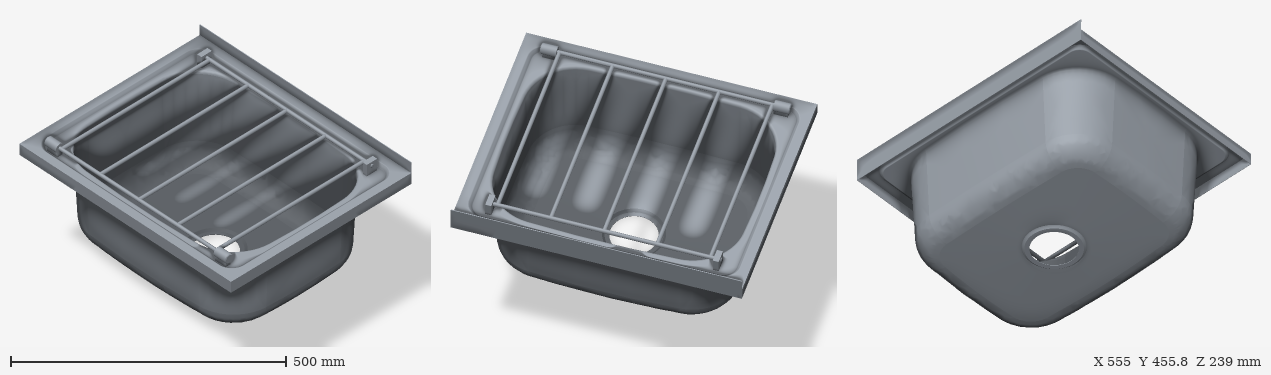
import cadquery as cq
import math


SHEET = 0.8
DECK_WIDTH = 555.0
DECK_DEPTH = 455.8
DECK_FRONT = -227.5
DECK_BACK = DECK_FRONT + DECK_DEPTH
SKIRT_HEIGHT = 25.5
OVERALL_HEIGHT = 238.98
SPLASH_HEIGHT = 24.5
HEM_HEIGHT = 6.0

RECESS_DEPTH = 6.5
RECESS_WIDTH = 517.0
RECESS_LENGTH = 417.0
RECESS_CORNER_RADIUS = 32.0
RECESS_SLOPE_RUN = 7.0
RECESS_RIM_RADIUS = 3.0
RECESS_FLOOR_RADIUS = 2.0

BOWL_HALF_WIDTH = 240.0
BOWL_HALF_LENGTH = 189.5
CORNER_CENTER_X = 139.5
CORNER_CENTER_Y = 88.0
CORNER_RADIUS = 98.0
WALL_DRAFT = 3.0
LIP_RADIUS = 5.0
BOTTOM_RADIUS = 45.0

DRAIN_BOTTOM = SPLASH_HEIGHT - OVERALL_HEIGHT
DRAIN_SEAT_DEPTH = 4.5
DRAIN_TOP_RADIUS = 58.5
DRAIN_SEAT_RADIUS = 53.5
DRAIN_HOLE_RADIUS = 45.0
FLOOR_RIM_RADIUS = 350.0
FLOOR_RISE = 10.0

ROD_DIAMETER = 8.0
ROD_RADIUS = ROD_DIAMETER / 2
GRATE_HEIGHT = 11.0
BAR_COUNT = 5
BAR_PITCH = 101.5
REAR_ROD_Y = 181.0
FRONT_ROD_Y = -193.0
ROD_PROTRUSION = 2.0

BLOCK_INNER_X = 211.0
BLOCK_WIDTH = 11.5
BLOCK_LENGTH = 26.0
BLOCK_TOP = 20.0
BLOCK_EDGE_RADIUS = 1.5

REST_INNER_X = 207.0
REST_LENGTH = 31.0
REST_RADIUS = 10.3
REST_FOOT_WIDTH = 13.0
REST_FOOT_LENGTH = 27.0
REST_CHAMFER = 1.5

SIDES = (-1, 1)
SELECT_MARGIN = 0.1


def level_zone(half_width, half_length, level):
    """Selector for edges lying at one Z level within a centred rectangle."""
    return cq.selectors.BoxSelector(
        (-half_width, -half_length, level - SELECT_MARGIN),
        (half_width, half_length, level + SELECT_MARGIN),
    )


def bowl_outline(offset):
    """Closed outline of four shallow arcs joined by four tangent corner arcs."""
    half_width = BOWL_HALF_WIDTH + offset
    half_length = BOWL_HALF_LENGTH + offset
    radius = CORNER_RADIUS + offset
    cx, cy = CORNER_CENTER_X, CORNER_CENTER_Y
    center_square = cx**2 + cy**2
    long_reach = half_length - radius
    short_reach = half_width - radius
    long_back = (center_square - long_reach**2) / (2 * (long_reach - cy))
    short_back = (center_square - short_reach**2) / (2 * (short_reach - cx))
    long_angle = math.atan2(cy + long_back, cx)
    short_angle = math.atan2(cy, cx + short_back)
    mid_angle = (long_angle + short_angle) / 2

    def on_corner(angle):
        return cx + radius * math.cos(angle), cy + radius * math.sin(angle)

    sx, sy = on_corner(short_angle)
    mx, my = on_corner(mid_angle)
    lx, ly = on_corner(long_angle)
    return (
        cq.Workplane("XY", origin=(0, 0, -RECESS_DEPTH))
        .moveTo(sx, -sy)
        .threePointArc((half_width, 0), (sx, sy))
        .threePointArc((mx, my), (lx, ly))
        .threePointArc((0, half_length), (-lx, ly))
        .threePointArc((-mx, my), (-sx, sy))
        .threePointArc((-half_width, 0), (-sx, -sy))
        .threePointArc((-mx, -my), (-lx, -ly))
        .threePointArc((0, -half_length), (lx, -ly))
        .threePointArc((mx, -my), (sx, -sy))
        .close()
    )


def recess(offset):
    """Frustum that fills the drip recess, lowered by a sheet thickness `offset`."""
    slope_angle = math.degrees(math.atan2(RECESS_SLOPE_RUN, RECESS_DEPTH))
    return (
        cq.Workplane("XY", origin=(0, 0, -offset))
        .sketch()
        .rect(RECESS_WIDTH, RECESS_LENGTH)
        .vertices()
        .fillet(RECESS_CORNER_RADIUS)
        .finalize()
        .extrude(-RECESS_DEPTH, taper=slope_angle)
        .faces("<Z")
        .edges()
        .fillet(RECESS_FLOOR_RADIUS)
    )


def bowl_body(offset):
    """Bowl with drafted walls and a floor that slopes to the drain seat, grown by `offset`."""
    seat_bottom = DRAIN_BOTTOM + SHEET - offset
    floor_bottom = seat_bottom + DRAIN_SEAT_DEPTH
    floor_space = (
        cq.Workplane("XZ")
        .moveTo(0, floor_bottom)
        .lineTo(DRAIN_TOP_RADIUS, floor_bottom)
        .lineTo(FLOOR_RIM_RADIUS, floor_bottom + FLOOR_RISE)
        .lineTo(FLOOR_RIM_RADIUS, 0)
        .lineTo(0, 0)
        .close()
        .revolve(360, (0, 0, 0), (0, 1, 0))
    )
    body = bowl_outline(offset).extrude(DRAIN_BOTTOM, taper=WALL_DRAFT).intersect(floor_space)
    body = body.edges("%BSPLINE").fillet(BOTTOM_RADIUS + offset)
    seat = cq.Solid.makeCone(
        DRAIN_SEAT_RADIUS + offset,
        DRAIN_TOP_RADIUS + offset,
        DRAIN_SEAT_DEPTH,
        pnt=cq.Vector(0, 0, seat_bottom),
    )
    return body.union(cq.Workplane(seat))


def basin(offset):
    """Recess and bowl as one solid, with the rounded lip between them."""
    body = recess(offset).union(bowl_body(offset))
    lip_level = -RECESS_DEPTH - offset
    lip_zone = level_zone(BOWL_HALF_WIDTH + SHEET, BOWL_HALF_LENGTH + SHEET, lip_level)
    return body.edges(lip_zone).fillet(LIP_RADIUS + SHEET - offset)


def deck_box(width, front, back, bottom, top):
    """Box centred on X between the given Y and Z limits."""
    return (
        cq.Workplane("XY", origin=(0, (front + back) / 2, bottom))
        .box(width, back - front, top - bottom, centered=(True, True, False))
    )


def make_sink():
    deck = deck_box(DECK_WIDTH, DECK_FRONT, DECK_BACK, -SKIRT_HEIGHT, 0)
    underside = deck_box(
        DECK_WIDTH - 2 * SHEET, DECK_FRONT + SHEET, DECK_BACK - SHEET, -SKIRT_HEIGHT, -SHEET
    )
    splash = deck_box(DECK_WIDTH, DECK_BACK - SHEET, DECK_BACK, -SKIRT_HEIGHT, SPLASH_HEIGHT)
    hem = deck_box(
        DECK_WIDTH, DECK_BACK - 2 * SHEET, DECK_BACK, SPLASH_HEIGHT - HEM_HEIGHT, SPLASH_HEIGHT
    )
    drain_hole = (
        cq.Workplane("XY", origin=(0, 0, DRAIN_BOTTOM))
        .circle(DRAIN_HOLE_RADIUS)
        .extrude(SHEET)
    )
    sink = (
        deck.cut(underside)
        .union(splash)
        .union(hem)
        .union(basin(SHEET))
        .cut(basin(0))
        .cut(drain_hole)
    )
    rim_zone = level_zone(RECESS_WIDTH / 2, RECESS_LENGTH / 2, 0)
    return sink.edges(rim_zone).fillet(RECESS_RIM_RADIUS)


def rod_along_x(y, half_length):
    return (
        cq.Workplane("YZ", origin=(-half_length, y, GRATE_HEIGHT))
        .circle(ROD_RADIUS)
        .extrude(2 * half_length)
    )


def make_grate():
    rear_half_length = BLOCK_INNER_X + BLOCK_WIDTH + ROD_PROTRUSION
    grate = rod_along_x(REAR_ROD_Y, rear_half_length).faces("|X").edges().fillet(ROD_PROTRUSION)
    grate = grate.union(rod_along_x(FRONT_ROD_Y, REST_INNER_X))
    for index in range(BAR_COUNT):
        bar_x = (index - (BAR_COUNT - 1) / 2) * BAR_PITCH
        bar = (
            cq.Workplane("XZ", origin=(bar_x, REAR_ROD_Y, GRATE_HEIGHT))
            .circle(ROD_RADIUS)
            .extrude(REAR_ROD_Y - FRONT_ROD_Y)
        )
        grate = grate.union(bar)
    return grate


def make_block(side):
    """Upright block standing in the recess, bored for the rear rod, with rounded inner corners."""
    inner_face = "<X" if side > 0 else ">X"
    block = (
        cq.Workplane("XY", origin=(side * (BLOCK_INNER_X + BLOCK_WIDTH / 2), REAR_ROD_Y, -RECESS_DEPTH))
        .box(BLOCK_WIDTH, BLOCK_LENGTH, BLOCK_TOP + RECESS_DEPTH, centered=(True, True, False))
        .faces(inner_face)
        .edges("|Z")
        .fillet(BLOCK_EDGE_RADIUS)
    )
    return block.cut(rod_along_x(REAR_ROD_Y, DECK_WIDTH / 2))


def make_rest(side):
    """Round rest on the end of the front rod, with a foot down to the recess floor."""
    rest = (
        cq.Workplane("YZ", origin=(side * REST_INNER_X, FRONT_ROD_Y, GRATE_HEIGHT))
        .circle(REST_RADIUS)
        .extrude(side * REST_LENGTH)
    )
    outer_face = ">X" if side > 0 else "<X"
    rest = rest.faces(outer_face).edges().chamfer(REST_CHAMFER)
    foot = (
        cq.Workplane("XY", origin=(side * (REST_INNER_X + REST_FOOT_LENGTH / 2), FRONT_ROD_Y, -RECESS_DEPTH))
        .box(REST_FOOT_LENGTH, REST_FOOT_WIDTH, GRATE_HEIGHT + RECESS_DEPTH, centered=(True, True, False))
    )
    return rest.union(foot)


sink = make_sink()
grate = make_grate()
blocks = [make_block(side) for side in SIDES]
rests = [make_rest(side) for side in SIDES]

result = cq.Compound.makeCompound(
    [sink.val(), grate.val(), *[block.val() for block in blocks], *[rest.val() for rest in rests]]
)